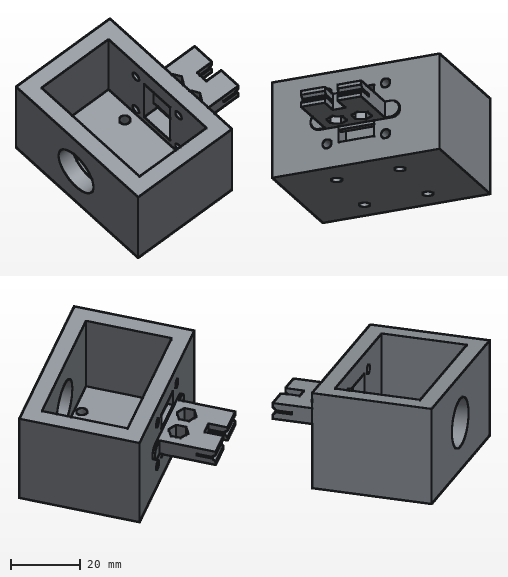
import cadquery as cq

WALL = 5.25
CAVITY_X = 42.5
CAVITY_Y = 26.0
HOUSING_X = CAVITY_X + 2 * WALL
HOUSING_Y = CAVITY_Y + 2 * WALL
HOUSING_Z = 30.0
FLOOR = WALL

FRONT_HOLE_DIAMETER = 15.1
FRONT_HOLE_X = -0.45
MID_Z = HOUSING_Z / 2

FLOOR_HOLE_DIAMETER = 3.2
FLOOR_HOLE_PITCH = 20.0
FLOOR_HOLES_Y = 17.5

WINDOW_X = 11.2
WINDOW_Z = 16.2
WINDOW_CENTRE_X = -0.15
WINDOW_CENTRE_Z = 15.7
REAR_HOLE_DIAMETER = 2.8
REAR_HOLE_PITCH_X = 18.5
REAR_HOLE_PITCH_Z = 16.0

OVERALL_Y = 54.22
BLADE_X = 19.0
BLADE_Y = 17.0
HOLDER_Z = 5.0
BLADE_START_Y = OVERALL_Y - BLADE_Y

FLANGE_X = 28.0
FLANGE_Y = BLADE_START_Y - HOUSING_Y

TENON_Y = 1.75
TENON_Z = 7.1

NOTCH_X = 4.0
NOTCH_DEPTH = 5.75
SLIT_Z = 0.6
SLIT_LEAD_IN = 0.95

HEX_CORNER_DIAMETER = 6.0
HEX_PITCH = 7.9
HEX_FROM_FLANGE = 4.0

REAR_INNER_Y = HOUSING_Y - WALL


def box_between(size, base_centre):
    """Box centred on X and Z about base_centre, growing from it along +Y."""
    box = cq.Workplane("XY").box(*size, centered=(True, False, True))
    return box.translate(base_centre)


def facing_front(start_y, x, z):
    """Workplane at (x, start_y, z) facing -Y, so negative extrusions run along +Y."""
    return cq.Workplane("XZ", origin=(x, start_y, z))


def make_housing():
    housing = cq.Workplane("XY").box(HOUSING_X, HOUSING_Y, HOUSING_Z, centered=(True, False, False))
    cavity = (
        cq.Workplane("XY")
        .box(CAVITY_X, CAVITY_Y, HOUSING_Z - FLOOR, centered=(True, False, False))
        .translate((0, WALL, FLOOR))
    )
    front_hole = facing_front(0, FRONT_HOLE_X, MID_Z).circle(FRONT_HOLE_DIAMETER / 2).extrude(-WALL)
    floor_holes = (
        cq.Workplane("XY", origin=(0, FLOOR_HOLES_Y, 0))
        .rarray(FLOOR_HOLE_PITCH, FLOOR_HOLE_PITCH, 2, 2)
        .circle(FLOOR_HOLE_DIAMETER / 2)
        .extrude(FLOOR)
    )
    window = box_between((WINDOW_X, WALL, WINDOW_Z), (WINDOW_CENTRE_X, REAR_INNER_Y, WINDOW_CENTRE_Z))
    rear_holes = (
        facing_front(REAR_INNER_Y, WINDOW_CENTRE_X, WINDOW_CENTRE_Z)
        .rarray(REAR_HOLE_PITCH_X, REAR_HOLE_PITCH_Z, 2, 2)
        .circle(REAR_HOLE_DIAMETER / 2)
        .extrude(-WALL)
    )
    for opening in (cavity, front_hole, floor_holes, window, rear_holes):
        housing = housing.cut(opening)
    return housing


def make_slit():
    """Slit across the blade tip with a flared mouth, as a Y-Z profile run along X."""
    half_slit = SLIT_Z / 2
    half_mouth = half_slit + SLIT_LEAD_IN
    flare_y = OVERALL_Y - SLIT_LEAD_IN
    return (
        cq.Workplane("YZ", origin=(0, 0, MID_Z))
        .moveTo(OVERALL_Y - NOTCH_DEPTH, -half_slit)
        .lineTo(flare_y, -half_slit)
        .lineTo(OVERALL_Y, -half_mouth)
        .lineTo(OVERALL_Y, half_mouth)
        .lineTo(flare_y, half_slit)
        .lineTo(OVERALL_Y - NOTCH_DEPTH, half_slit)
        .close()
        .extrude(BLADE_X / 2, both=True)
    )


def make_holder():
    tenon = box_between((WINDOW_X, TENON_Y, TENON_Z), (WINDOW_CENTRE_X, HOUSING_Y - TENON_Y, MID_Z))
    flange = facing_front(HOUSING_Y, 0, MID_Z).slot2D(FLANGE_X, HOLDER_Z).extrude(-FLANGE_Y)
    blade = box_between((BLADE_X, BLADE_Y, HOLDER_Z), (0, BLADE_START_Y, MID_Z))
    notch = box_between((NOTCH_X, NOTCH_DEPTH, HOLDER_Z), (0, OVERALL_Y - NOTCH_DEPTH, MID_Z))
    hex_plane = cq.Plane(origin=(0, BLADE_START_Y + HEX_FROM_FLANGE, MID_Z), xDir=(0, 1, 0), normal=(0, 0, 1))
    hex_holes = (
        cq.Workplane(hex_plane)
        .rarray(1, HEX_PITCH, 1, 2)
        .polygon(6, HEX_CORNER_DIAMETER)
        .extrude(HOLDER_Z / 2, both=True)
    )
    return tenon.union(flange).union(blade).cut(notch).cut(make_slit()).cut(hex_holes)


housing = make_housing()
holder = make_holder()
result = cq.Compound.makeCompound([housing.val(), holder.val()])